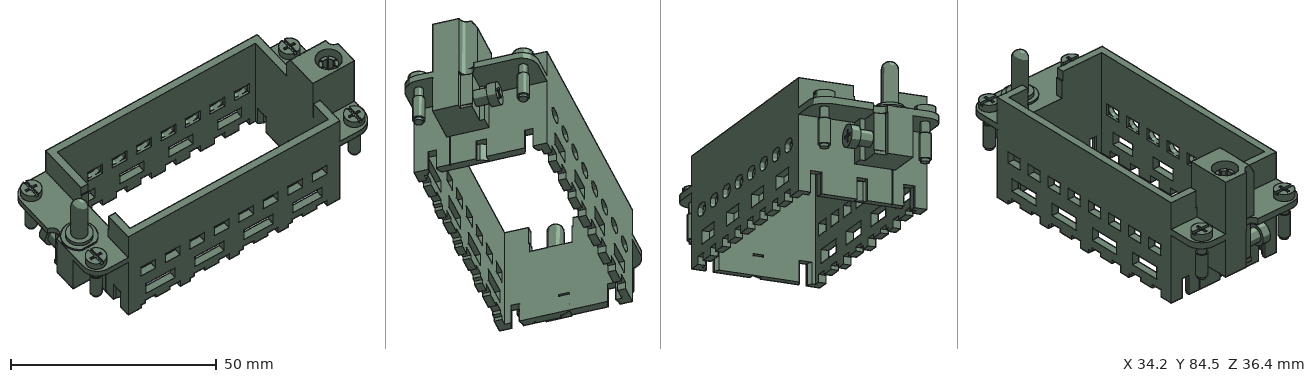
import cadquery as cq
import math

LENGTH = 84.5
WIDTH = 34.2
HEIGHT = 36.4
FRAME_LENGTH = 63.55
FRAME_HEIGHT = 29.1
WALL = 2.0
HALF_X = WIDTH / 2
END_Y = LENGTH / 2
WALL_Y = FRAME_LENGTH / 2
INNER_Y = WALL_Y - WALL

FLANGE_TOP = 21.4
FLANGE_THICK = 1.8
FLANGE_BOTTOM = FLANGE_TOP - FLANGE_THICK
FLANGE_CORNER = 4.4
NOTCH_RADIUS = 1.9

BLOCK_LEFT = -2.2
BLOCK_RIGHT = 8.7
BLOCK_BOTTOM = 8.95
POCKET_X = -0.9
POCKET_Y = 35.1
STEP_X = 2.0
STEP_Y = 40.5
FOOT_HEIGHT = 1.0
FOOT_DEPTH = 0.4
BEVEL_DEPTH = 0.25
BEVEL_X = -0.2
TOWER_CHAMFER_X = 1.5
TOWER_CHAMFER_Z = 2.5

RELIEF = 0.25
RELIEF_LEFT_Z = 26.4
RELIEF_RIGHT_Z = 24.1
SEAM_X = 7.9
SEAM_DEPTH = 0.4

PITCH = 7.35
HOLE_COUNT = 8
HOLE_LENGTH = 4.4
HOLE_HEIGHT = 3.2
HOLE_Z = 13.5
HOLE_STEP = 1.35
WINDOW_COUNT = 4
WINDOW_LENGTH = 7.2
WIDE_WINDOW_LENGTH = 8.8
WINDOW_BOTTOM = 4.4
WINDOW_HEIGHT = 3.55
TOOTH_GAP = 3.1
TOOTH_HEIGHT = 2.0
TOOTH_SHIFT = 0.7
ARCH_LENGTH = 11.5
ARCH_HEIGHT = 1.0

SLOT_X = 12.4
SLOT_HEIGHT = 5.6
SLOT_WIDE = 2.95
SLOT_NARROW = 2.1
SLOT_FLARE = 3.5
SLOT_STRAIGHT = 0.8
CENTRE_SLOT_X = -0.2
CENTRE_SLOT_WIDTH = 2.7
CENTRE_WEB_HEIGHT = 5.1
CENTRE_SLOT_DEPTH = 0.8
CENTRE_SLOPE_DEPTH = 1.7
CENTRE_SLOPE_X = 0.3

SCREW_X = 13.4
SCREW_Y = 38.8
HEAD_RADIUS = 2.6
HEAD_HEIGHT = 2.0
NECK_RADIUS = 1.2
THREAD_RADIUS = 1.5
THREAD_TOP = 16.65
THREAD_BOTTOM = 10.1
TIP_RADIUS = 1.1
TIP_BOTTOM = 9.4
DRIVE_SLOT = 0.8
DRIVE_SLOT_DEPTH = 0.7
CROSS_LENGTH = 3.1
CROSS_WIDTH = 0.6
CROSS_DEPTH = 1.3

CLAMP_Y = 38.1
CLAMP_Z = 13.5
CLAMP_HEAD_X = -7.0
CLAMP_HEAD_LENGTH = 2.4
CLAMP_HEAD_RADIUS = 2.9
CLAMP_RADIUS = 2.0

GUIDE_X = 4.65
GUIDE_Y = 37.4
PIN_RADIUS = 2.1
PIN_TOP = 34.4
PIN_DOME = 2.0
COLLAR_RADIUS = 3.4
COLLAR_TOP = 22.9
WASHER_RADIUS = 4.6
WASHER_TOP = 21.9
SOCKET_RADIUS = 3.3
SOCKET_FLOOR_RADIUS = 2.7
SOCKET_DEPTH = 8.45
COLLET_RADIUS = 2.45
COLLET_BORE = 1.5
COLLET_DROP = 1.7
COLLET_SLIT = 0.3
COLLET_SLITS = 6


def box(x0, x1, y0, y1, z0, z1):
    return cq.Workplane("XY").box(x1 - x0, y1 - y0, z1 - z0, centered=False).translate((x0, y0, z0))


def rod(x, y, radius, z0, z1):
    return cq.Workplane("XY", origin=(x, y, z0)).circle(radius).extrude(z1 - z0)


def row(count, pitch):
    """Evenly spaced places, centred on zero."""
    return [(i - (count - 1) / 2) * pitch for i in range(count)]


def frame():
    outer = box(-HALF_X, HALF_X, -WALL_Y, WALL_Y, 0, FRAME_HEIGHT)
    inner = box(-HALF_X + WALL, HALF_X - WALL, -INNER_Y, INNER_Y, 0, FRAME_HEIGHT)
    return outer.cut(inner)


def long_wall_openings():
    holes = cq.Workplane("YZ", origin=(0, 0, HOLE_Z)).pushPoints([(y, 0) for y in row(HOLE_COUNT, PITCH)])
    cutter = holes.slot2D(HOLE_LENGTH, HOLE_HEIGHT).extrude(-HALF_X)
    cutter = cutter.union(holes.rect(HOLE_LENGTH, HOLE_HEIGHT).extrude(HALF_X))
    cutter = cutter.union(holes.rect(HOLE_LENGTH, HOLE_HEIGHT).extrude(HOLE_STEP - HALF_X))
    window_top = WINDOW_BOTTOM + WINDOW_HEIGHT
    for y in row(WINDOW_COUNT, 2 * PITCH):
        half = WINDOW_LENGTH / 2
        wide = WIDE_WINDOW_LENGTH / 2
        cutter = cutter.union(box(-HALF_X, 0, y - half, y + half, WINDOW_BOTTOM, window_top))
        cutter = cutter.union(box(0, HALF_X, y - wide, y + wide, WINDOW_BOTTOM, window_top))
        arch = ARCH_LENGTH / 2
        cutter = cutter.union(box(0, HALF_X, y - arch, y + arch, 0, ARCH_HEIGHT))
    for y in row(HOLE_COUNT, PITCH):
        gap_start = y + TOOTH_SHIFT - TOOTH_GAP / 2
        cutter = cutter.union(box(-HALF_X, HALF_X, gap_start, gap_start + TOOTH_GAP, 0, TOOTH_HEIGHT))
    return cutter



def block_relief():
    """Strip of clearance between the end wall and the right side of the block or tower."""
    return box(BLOCK_RIGHT, BLOCK_RIGHT + RELIEF, -WALL_Y, -INNER_Y, RELIEF_RIGHT_Z, FRAME_HEIGHT)


def pin_end_opening():
    """Opening in the -Y end wall behind the guide pin, slightly wider at the top."""
    opening = box(BLOCK_LEFT, BLOCK_RIGHT, -WALL_Y, -INNER_Y, FLANGE_TOP, FRAME_HEIGHT)
    return opening.union(
        box(BLOCK_LEFT - RELIEF, BLOCK_LEFT, -WALL_Y, -INNER_Y, RELIEF_LEFT_Z, FRAME_HEIGHT))


def seam():
    """Narrow groove in the end wall below the block."""
    start = SEAM_X - RELIEF / 2
    return box(start, start + RELIEF, -WALL_Y, -WALL_Y + SEAM_DEPTH, 0, BLOCK_BOTTOM)


def side_slots(outer_width, inner_width):
    """Pair of slots in the lower edge of the end wall, straight outside and tapered inside."""
    outer = outer_width / 2
    inner = inner_width / 2
    outline = [
        (-outer, -WALL_Y),
        (outer, -WALL_Y),
        (outer, -WALL_Y + SLOT_STRAIGHT),
        (inner, -INNER_Y),
        (-inner, -INNER_Y),
        (-outer, -WALL_Y + SLOT_STRAIGHT),
    ]
    slot = cq.Workplane("XY").polyline(outline).close().extrude(SLOT_HEIGHT)
    return slot.translate((-SLOT_X, 0, 0)).union(slot.translate((SLOT_X, 0, 0)))


def centre_slot():
    """Slot whose inside is closed by a partly sloping web, open only along its top."""
    left = CENTRE_SLOT_X - CENTRE_SLOT_WIDTH / 2
    right = CENTRE_SLOT_X + CENTRE_SLOT_WIDTH / 2
    outline = [
        (left, -WALL_Y),
        (right, -WALL_Y),
        (right, -WALL_Y + CENTRE_SLOT_DEPTH),
        (CENTRE_SLOPE_X, -WALL_Y + CENTRE_SLOT_DEPTH),
        (left, -WALL_Y + CENTRE_SLOPE_DEPTH),
    ]
    recess = cq.Workplane("XY").polyline(outline).close().extrude(SLOT_HEIGHT)
    return recess.union(box(left, right, -WALL_Y, -INNER_Y, CENTRE_WEB_HEIGHT, SLOT_HEIGHT))


def flange():
    plate = box(-HALF_X, HALF_X, -END_Y, -WALL_Y, FLANGE_BOTTOM, FLANGE_TOP)
    plate = plate.edges("|Z and <Y").fillet(FLANGE_CORNER)
    return plate.cut(rod(0, -END_Y, NOTCH_RADIUS, FLANGE_BOTTOM, FLANGE_TOP))


def block():
    outline = [
        (BLOCK_LEFT, -WALL_Y),
        (BLOCK_LEFT, -POCKET_Y),
        (POCKET_X, -POCKET_Y),
        (POCKET_X, -STEP_Y),
        (BEVEL_X, -STEP_Y),
        (STEP_X, -STEP_Y - BEVEL_DEPTH),
        (STEP_X, -END_Y),
        (BLOCK_RIGHT, -END_Y),
        (BLOCK_RIGHT, -WALL_Y),
    ]
    height = FLANGE_BOTTOM - BLOCK_BOTTOM
    body = cq.Workplane("XY", origin=(0, 0, BLOCK_BOTTOM)).polyline(outline).close().extrude(height)
    foot = (
        cq.Workplane("YZ", origin=(POCKET_X, 0, 0))
        .moveTo(-STEP_Y, BLOCK_BOTTOM)
        .lineTo(-STEP_Y - FOOT_DEPTH, BLOCK_BOTTOM)
        .lineTo(-STEP_Y - BEVEL_DEPTH, BLOCK_BOTTOM + FOOT_HEIGHT)
        .lineTo(-STEP_Y, BLOCK_BOTTOM + FOOT_HEIGHT)
        .close()
        .extrude(STEP_X - POCKET_X)
    )
    corner = box(STEP_X, BLOCK_RIGHT, -END_Y, -WALL_Y, BLOCK_BOTTOM, FLANGE_TOP)
    return body.union(foot).union(corner)


def fixing_screw(x):
    head_top = FLANGE_TOP + HEAD_HEIGHT
    y = -SCREW_Y
    screw = rod(x, y, HEAD_RADIUS, FLANGE_TOP, head_top)
    screw = screw.union(rod(x, y, NECK_RADIUS, THREAD_TOP, FLANGE_TOP))
    screw = screw.union(rod(x, y, THREAD_RADIUS, THREAD_BOTTOM, THREAD_TOP))
    screw = screw.union(rod(x, y, TIP_RADIUS, TIP_BOTTOM, THREAD_BOTTOM))
    drive = cq.Workplane("XY", origin=(x, y, head_top))
    slot = drive.rect(2 * HEAD_RADIUS, DRIVE_SLOT).extrude(-DRIVE_SLOT_DEPTH)
    cross_slot = drive.rect(CROSS_WIDTH, CROSS_LENGTH).extrude(-DRIVE_SLOT_DEPTH)
    return screw.cut(slot).cut(cross_slot)


def clamping_screw():
    axis = cq.Workplane("YZ", origin=(CLAMP_HEAD_X, -CLAMP_Y, CLAMP_Z))
    screw = axis.circle(CLAMP_HEAD_RADIUS).extrude(CLAMP_HEAD_LENGTH)
    screw = screw.union(axis.circle(CLAMP_RADIUS).extrude(POCKET_X - CLAMP_HEAD_X))
    cross = axis.rect(CROSS_LENGTH, CROSS_WIDTH).extrude(CROSS_DEPTH)
    return screw.cut(cross).cut(axis.rect(CROSS_WIDTH, CROSS_LENGTH).extrude(CROSS_DEPTH))


def end_parts():
    parts = flange().union(block()).union(clamping_screw())
    for x in (-SCREW_X, SCREW_X):
        parts = parts.union(fixing_screw(x))
    return parts


def guide_pin():
    washer = rod(GUIDE_X, -GUIDE_Y, WASHER_RADIUS, FLANGE_TOP, WASHER_TOP)
    washer = washer.cut(box(BLOCK_RIGHT, HALF_X, -END_Y, -WALL_Y, FLANGE_TOP, WASHER_TOP))
    collar = rod(GUIDE_X, -GUIDE_Y, COLLAR_RADIUS, FLANGE_TOP, COLLAR_TOP)
    pin = rod(GUIDE_X, -GUIDE_Y, PIN_RADIUS, FLANGE_TOP, PIN_TOP).faces(">Z").edges().fillet(PIN_DOME)
    return washer.union(collar).union(pin)


def tower():
    """Tower with the guide socket, at the +Y end."""
    shoulder_y = END_Y - NOTCH_RADIUS
    arc_offset = NOTCH_RADIUS * math.sqrt(0.5)
    body = (
        cq.Workplane("XY", origin=(0, 0, FLANGE_TOP))
        .moveTo(BLOCK_LEFT, INNER_Y)
        .lineTo(BLOCK_RIGHT, INNER_Y)
        .lineTo(BLOCK_RIGHT, END_Y)
        .lineTo(NOTCH_RADIUS, END_Y)
        .threePointArc((arc_offset, END_Y - arc_offset), (0, shoulder_y))
        .lineTo(BLOCK_LEFT, shoulder_y)
        .close()
        .extrude(HEIGHT - FLANGE_TOP)
    )
    chamfer = (
        cq.Workplane("XZ", origin=(0, END_Y, 0))
        .moveTo(BLOCK_LEFT, HEIGHT)
        .lineTo(BLOCK_LEFT + TOWER_CHAMFER_X, HEIGHT)
        .lineTo(BLOCK_LEFT, HEIGHT - TOWER_CHAMFER_Z)
        .close()
        .extrude(END_Y - INNER_Y)
    )
    socket_floor = HEIGHT - SOCKET_DEPTH
    socket = (
        cq.Workplane("XY", origin=(GUIDE_X, GUIDE_Y, HEIGHT))
        .circle(SOCKET_RADIUS)
        .workplane(offset=-SOCKET_DEPTH)
        .circle(SOCKET_FLOOR_RADIUS)
        .loft(ruled=True)
    )
    tip = cq.Vector(GUIDE_X, GUIDE_Y, socket_floor - COLLET_BORE)
    cone = cq.Workplane("XY").add(cq.Solid.makeCone(0, COLLET_BORE, COLLET_BORE, pnt=tip))
    return body.cut(chamfer).cut(socket).cut(cone).union(collet(socket_floor))


def collet(floor):
    """Slit contact sleeve standing on the floor of the socket."""
    top = HEIGHT - COLLET_DROP
    sleeve = rod(GUIDE_X, GUIDE_Y, COLLET_RADIUS, floor, top)
    sleeve = sleeve.cut(rod(GUIDE_X, GUIDE_Y, COLLET_BORE, floor, top))
    slits = (
        cq.Workplane("XY", origin=(GUIDE_X, GUIDE_Y, floor))
        .polarArray(COLLET_RADIUS, 90, 360, COLLET_SLITS)
        .rect(2 * COLLET_RADIUS, COLLET_SLIT)
        .extrude(top - floor)
    )
    return sleeve.cut(slits)


pin_end_cuts = pin_end_opening().union(side_slots(SLOT_WIDE, SLOT_NARROW))
socket_end_cuts = side_slots(SLOT_NARROW, SLOT_FLARE).mirror("XZ")
both_end_cuts = block_relief().union(seam()).union(centre_slot())
both_end_parts = end_parts()

result = frame().cut(long_wall_openings()).cut(pin_end_cuts).cut(socket_end_cuts)
result = result.cut(both_end_cuts).cut(both_end_cuts.mirror("XZ"))
result = result.union(both_end_parts).union(both_end_parts.mirror("XZ"))
result = result.union(guide_pin()).union(tower())